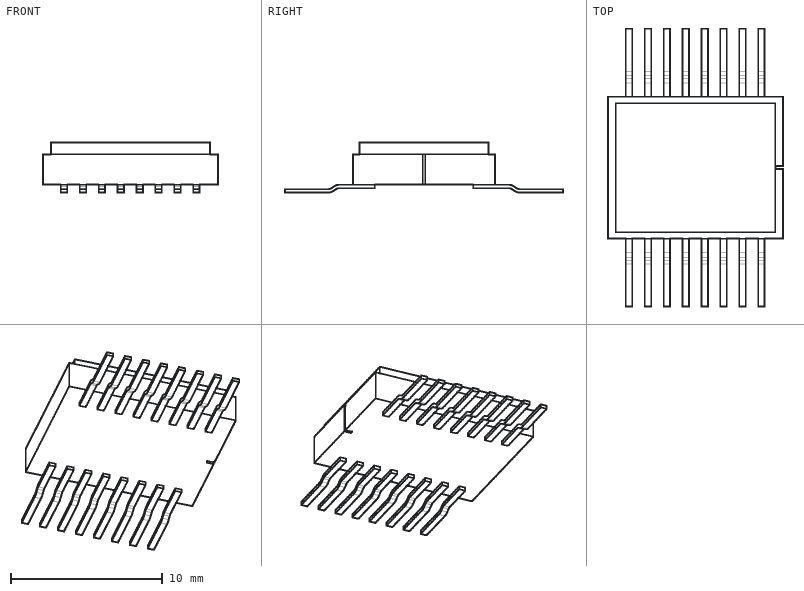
import cadquery as cq
import math

overall_length = 18.4
overall_height = 3.33

base_width = 11.6
base_depth = 9.4
base_height = 2.0
lid_width = 10.52
lid_depth = 8.54
lid_height = 0.8
base_bottom = overall_height - lid_height - base_height

notch_width = 0.18
notch_depth = 0.5

leads_per_side = 8
lead_pitch = 1.25
lead_width = 0.45
lead_thickness = 0.24
lead_row_shift = -0.02
lead_inner_end = 3.25
shoulder_bend_start = 5.61
shoulder_inner_radius = 0.33
shoulder_outer_radius = shoulder_inner_radius + lead_thickness
foot_inner_radius = 0.45
foot_outer_radius = foot_inner_radius + lead_thickness
bend_angle = math.radians(33)


def make_body():
    """Rectangular base with a smaller lid centred on it."""
    base = (
        cq.Workplane("XY", origin=(0, 0, base_bottom))
        .rect(base_width, base_depth)
        .extrude(base_height)
    )
    notch = (
        cq.Workplane("XY", origin=(base_width / 2 - notch_depth / 2, 0, base_bottom))
        .rect(notch_depth, notch_width)
        .extrude(base_height)
    )
    lid = (
        cq.Workplane("XY", origin=(0, 0, base_bottom + base_height))
        .rect(lid_width, lid_depth)
        .extrude(lid_height)
    )
    return base.cut(notch).union(lid)


def on_circle(center, radius, angle):
    """Point on a circle; the angle is measured from +Z towards +Y."""
    y, z = center
    return (y + radius * math.sin(angle), z + radius * math.cos(angle))


def make_lead():
    """One lead on the +Y side, centred on X = 0, with its foot resting on Z = 0."""
    shoulder_center = (shoulder_bend_start, base_bottom - shoulder_outer_radius)

    radius_sum = shoulder_outer_radius + foot_inner_radius
    drop = base_bottom - lead_thickness
    slope_run = (drop - radius_sum * (1 - math.cos(bend_angle))) / math.tan(bend_angle)
    foot_bend_end = shoulder_bend_start + radius_sum * math.sin(bend_angle) + slope_run
    foot_center = (foot_bend_end, foot_outer_radius)

    foot_start = math.pi + bend_angle
    foot_middle = math.pi + bend_angle / 2
    tip = overall_length / 2

    profile = (
        cq.Workplane("YZ", origin=(-lead_width / 2, 0, 0))
        .moveTo(lead_inner_end, base_bottom)
        .lineTo(shoulder_bend_start, base_bottom)
        .threePointArc(
            on_circle(shoulder_center, shoulder_outer_radius, bend_angle / 2),
            on_circle(shoulder_center, shoulder_outer_radius, bend_angle),
        )
        .lineTo(*on_circle(foot_center, foot_inner_radius, foot_start))
        .threePointArc(
            on_circle(foot_center, foot_inner_radius, foot_middle),
            (foot_bend_end, lead_thickness),
        )
        .lineTo(tip, lead_thickness)
        .lineTo(tip, 0)
        .lineTo(foot_bend_end, 0)
        .threePointArc(
            on_circle(foot_center, foot_outer_radius, foot_middle),
            on_circle(foot_center, foot_outer_radius, foot_start),
        )
        .lineTo(*on_circle(shoulder_center, shoulder_inner_radius, bend_angle))
        .threePointArc(
            on_circle(shoulder_center, shoulder_inner_radius, bend_angle / 2),
            (shoulder_bend_start, base_bottom - lead_thickness),
        )
        .lineTo(lead_inner_end, base_bottom - lead_thickness)
        .close()
    )
    return profile.extrude(lead_width)


back_lead = make_lead()
front_lead = back_lead.mirror("XZ")

result = make_body()
for index in range(leads_per_side):
    lead_x = lead_row_shift + (index - (leads_per_side - 1) / 2) * lead_pitch
    result = result.union(back_lead.translate((lead_x, 0, 0)))
    result = result.union(front_lead.translate((lead_x, 0, 0)))